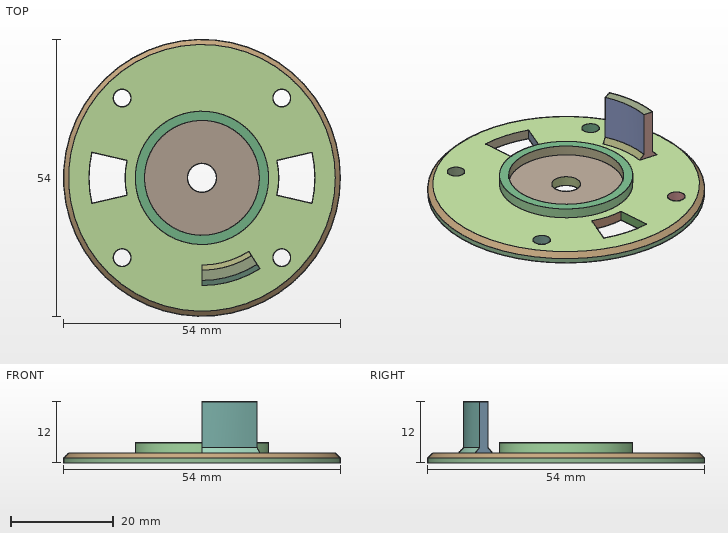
import cadquery as cq

disc_diameter = 54.0
disc_thickness = 2.0
rim_chamfer = 1.0

ring_outer_diameter = 26.0
ring_inner_diameter = 22.4
ring_height = 2.0

centre_hole_diameter = 5.6
screw_hole_diameter = 3.4
screw_circle_radius = 22.0
screw_count = 4
first_screw_angle = 45.0

window_inner_radius = 15.0
window_outer_radius = 22.0
window_angle = 26.0

total_height = 12.0
tab_inner_radius = 18.0
tab_outer_radius = 20.0
tab_foot = 1.0
tab_start_angle = -90.0
tab_angle = 32.5


def revolve_about_z(profile, start_angle, sweep_angle):
    """Revolve an XZ profile about Z, starting start_angle degrees from +X."""
    solid = profile.revolve(sweep_angle, (0, 0, 0), (0, 1, 0))
    return solid.rotate((0, 0, 0), (0, 0, 1), start_angle)


def make_disc():
    disc = cq.Workplane("XY").circle(disc_diameter / 2).extrude(disc_thickness)
    return disc.faces(">Z").edges().chamfer(rim_chamfer)


def make_ring():
    return (
        cq.Workplane("XY")
        .workplane(offset=disc_thickness)
        .circle(ring_outer_diameter / 2)
        .circle(ring_inner_diameter / 2)
        .extrude(ring_height)
    )


def make_tab():
    """Arc-shaped wall with a sloped foot along its inner and outer faces."""
    foot_top = disc_thickness + tab_foot
    profile = cq.Workplane("XZ").polyline([
        (tab_inner_radius - tab_foot, 0),
        (tab_inner_radius - tab_foot, disc_thickness),
        (tab_inner_radius, foot_top),
        (tab_inner_radius, total_height),
        (tab_outer_radius, total_height),
        (tab_outer_radius, foot_top),
        (tab_outer_radius + tab_foot, disc_thickness),
        (tab_outer_radius + tab_foot, 0),
    ]).close()
    return revolve_about_z(profile, tab_start_angle, tab_angle)


def make_window(centre_angle):
    profile = cq.Workplane("XZ").polyline([
        (window_inner_radius, 0),
        (window_outer_radius, 0),
        (window_outer_radius, disc_thickness),
        (window_inner_radius, disc_thickness),
    ]).close()
    return revolve_about_z(profile, centre_angle - window_angle / 2, window_angle)


def make_round_holes():
    centre_hole = cq.Workplane("XY").circle(centre_hole_diameter / 2).extrude(disc_thickness)
    screw_holes = (
        cq.Workplane("XY")
        .polarArray(screw_circle_radius, first_screw_angle, 360, screw_count)
        .circle(screw_hole_diameter / 2)
        .extrude(disc_thickness)
    )
    return centre_hole.union(screw_holes)


result = make_disc().union(make_ring()).union(make_tab()).cut(make_round_holes())
for window_centre in (0, 180):
    result = result.cut(make_window(window_centre))